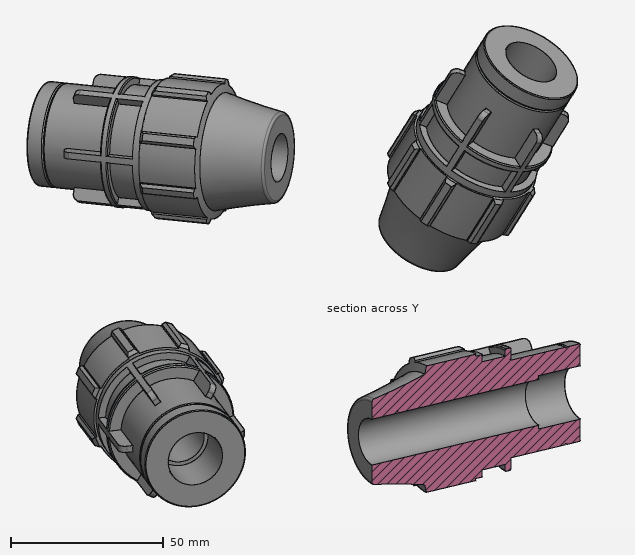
import cadquery as cq
import math

total_length = 82.0
groove_start = 5.2
groove_width = 1.0
rib_start = 13.85
collar_start = 27.2
collar_width = 2.5
flange_start = 38.5
nut_start = 41.1
nut_end = 61.3

body_radius = 34.5 / 2
body_end_chamfer = 0.3
groove_depth = 0.3
neck_radius = 19.1
collar_radius = 43.2 / 2
collar_chamfer = 0.4

rib_count = 6
rib_thickness = 2.2
rib_corner_radius = 2.5

nut_radius = 44.7 / 2
nut_end_slope = 3.8
cone_start_radius = 19.5
cone_middle_radius = 17.0
cone_end_radius = 15.0
cone_rim_fillet = 1.0

grip_count = 8
grip_crest_radius = 23.95
grip_shoulder_radius = 22.8
grip_crest_width = 2.5
grip_base_width = 3.9
grip_lead_in = 1.2

socket_radius = 18.6 / 2
socket_depth = 16.4
bore_radius = 16.0 / 2


def nut_end_x(radius):
    """X of the nut's conical end face at a given radius."""
    return nut_end - (radius - cone_start_radius) / nut_end_slope


def revolve_about_x(profile):
    """Closed profile with X along the axis and Y as the radius, revolved about X."""
    return profile.close().revolve(360, (0, 0, 0), (1, 0, 0))


def cylinder_along_x(start, end, radius):
    return cq.Workplane("YZ").workplane(offset=start).circle(radius).extrude(end - start)


def make_body():
    tube = cylinder_along_x(0, collar_start, body_radius).faces("<X").chamfer(body_end_chamfer)
    groove = revolve_about_x(
        cq.Workplane("XY")
        .moveTo(groove_start, body_radius)
        .lineTo(groove_start + groove_width / 2, body_radius - groove_depth)
        .lineTo(groove_start + groove_width, body_radius)
    )
    collar = cylinder_along_x(collar_start, collar_start + collar_width, collar_radius)
    collar = collar.edges().chamfer(collar_chamfer)
    neck = cylinder_along_x(collar_start + collar_width / 2, flange_start, neck_radius)
    flange = cylinder_along_x(flange_start, nut_start, collar_radius)
    return tube.cut(groove).union(collar).union(neck).union(flange)


def make_body_ribs():
    root_radius = body_radius / 2
    rib = (
        cq.Workplane("XY")
        .moveTo(rib_start, root_radius)
        .lineTo(rib_start, collar_radius - rib_corner_radius)
        .radiusArc((rib_start + rib_corner_radius, collar_radius), rib_corner_radius)
        .lineTo(flange_start, collar_radius)
        .lineTo(flange_start, root_radius)
        .close()
        .extrude(rib_thickness / 2, both=True)
    )
    ribs = cq.Workplane("XY")
    for index in range(rib_count):
        ribs = ribs.union(rib.rotate((0, 0, 0), (1, 0, 0), index * 360 / rib_count))
    return ribs.intersect(cylinder_along_x(0, nut_start, collar_radius))


def make_nut_envelope():
    """Round outline of the nut: front lead-in, conical rear face, tapered nose."""
    nose_middle = ((nut_end + total_length) / 2, cone_middle_radius)
    corner_radius = math.hypot(grip_crest_radius, grip_crest_width / 2)
    envelope = revolve_about_x(
        cq.Workplane("XY")
        .moveTo(nut_start, 0)
        .lineTo(nut_start, grip_shoulder_radius)
        .lineTo(nut_start + grip_lead_in, corner_radius)
        .lineTo(nut_end_x(corner_radius), corner_radius)
        .lineTo(nut_end, cone_start_radius)
        .threePointArc(nose_middle, (total_length, cone_end_radius))
        .lineTo(total_length, 0)
    )
    return envelope.faces(">X").edges().fillet(cone_rim_fillet)


def make_nut():
    """Cylinder with straight grips along it, trimmed to the envelope."""
    half_crest = grip_crest_width / 2
    half_base = grip_base_width / 2
    root_radius = nut_radius / 2
    grip = (
        cq.Workplane("YZ")
        .workplane(offset=nut_start)
        .polyline([
            (root_radius, -half_base),
            (grip_shoulder_radius, -half_base),
            (grip_crest_radius, -half_crest),
            (grip_crest_radius, half_crest),
            (grip_shoulder_radius, half_base),
            (root_radius, half_base),
        ])
        .close()
        .extrude(nut_end - nut_start)
    )
    nut = cylinder_along_x(nut_start, total_length, nut_radius)
    pitch = 360 / grip_count
    for index in range(grip_count):
        nut = nut.union(grip.rotate((0, 0, 0), (1, 0, 0), (index + 0.5) * pitch))
    return nut.intersect(make_nut_envelope())


socket = cylinder_along_x(0, socket_depth, socket_radius)
bore = cylinder_along_x(0, total_length, bore_radius)

result = (
    make_body()
    .union(make_body_ribs())
    .union(make_nut())
    .cut(socket)
    .cut(bore)
)